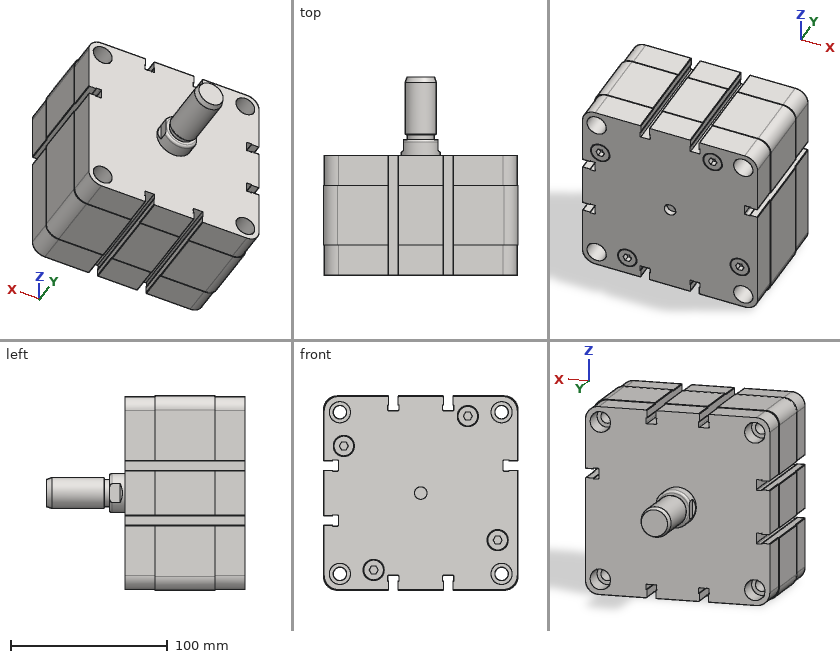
import cadquery as cq
import math

cap_width = 123.0
barrel_width = 124.0
housing_corner_radius = 9.0
cap_length = 19.25
barrel_length = 38.0
housing_length = 2 * cap_length + barrel_length
sections = [
    (0, cap_length, cap_width),
    (cap_length, barrel_length, barrel_width),
    (cap_length + barrel_length, cap_length, cap_width),
]

slot_offset = 17.5
slot_neck_width = 6.0
slot_channel_width = 7.0
slot_floor = 52.5
slot_channel_depth = 3.6
slot_floor_radius = 0.6
slot_mouth_chamfer = 0.4
slots = [
    (0, -slot_offset),
    (0, slot_offset),
    (90, -slot_offset),
    (180, -slot_offset),
    (180, slot_offset),
    (270, -slot_offset),
    (270, slot_offset),
]

mount_hole_pitch = 103.0
mount_hole_diameter = 8.38
mount_bore_diameter = 13.5
mount_bore_depth = 15.0

screw_near = 30.0
screw_far = 49.0
screw_positions = [
    (screw_near, screw_far),
    (screw_far, -screw_near),
    (-screw_near, -screw_far),
    (-screw_far, screw_near),
]
screw_head_diameter = 12.5
screw_recess_diameter = 13.5
screw_gap_depth = 8.0
hex_across_flats = 5.0
hex_depth = 4.0

centre_hole_diameter = 8.0
centre_hole_depth = 4.0

collar_diameter = 25.0
collar_length = 10.0
collar_edge_radius = 1.7
flat_width = 22.0
flat_end = 3.1
undercut_diameter = 17.5
thread_diameter = 20.0
thread_start = 13.4
thread_start_chamfer = 0.5
rod_length = 50.0
tip_diameter = 17.5
tip_chamfer_length = 3.5


def y_plane(y):
    """Plane facing +Y at the given height; local x is +X and local y is -Z."""
    return cq.Workplane(cq.Plane(origin=(0, y, 0), xDir=(1, 0, 0), normal=(0, 1, 0)))


def make_housing():
    housing = cq.Workplane("XY")
    for start, length, width in sections:
        block = y_plane(start).rect(width, width).extrude(length)
        housing = housing.union(block.edges("|Y").fillet(housing_corner_radius))
    return housing


def slot_block(width, start, length, bottom, top):
    """Block along Y, centred on X = 0, spanning the given Y and Z ranges."""
    block = cq.Workplane("XY", origin=(0, start, bottom))
    return block.box(width, length, top - bottom, centered=(True, False, False))


def make_slot_mouth(width, start, length):
    """Wedge that chamfers both lips of a slot in a section of the given width."""
    surface = width / 2
    half_neck = slot_neck_width / 2
    half_mouth = half_neck + slot_mouth_chamfer
    outline = [
        (-half_neck, surface - slot_mouth_chamfer),
        (half_neck, surface - slot_mouth_chamfer),
        (half_mouth, surface),
        (-half_mouth, surface),
    ]
    return cq.Workplane("XZ", origin=(0, start, 0)).polyline(outline).close().extrude(-length)


def make_slot(angle, offset):
    neck = slot_block(slot_neck_width, 0, housing_length, slot_floor, barrel_width / 2)
    channel_top = slot_floor + slot_channel_depth
    channel = slot_block(slot_channel_width, 0, housing_length, slot_floor, channel_top)
    slot = neck.union(channel.edges("|Y and <Z").fillet(slot_floor_radius))
    for start, length, width in sections:
        slot = slot.union(make_slot_mouth(width, start, length))
    return slot.translate((offset, 0, 0)).rotate((0, 0, 0), (0, 1, 0), angle)


def cut_mounting_holes(body):
    def holes(diameter, start, depth):
        pattern = y_plane(start).rect(mount_hole_pitch, mount_hole_pitch, forConstruction=True).vertices()
        return pattern.circle(diameter / 2).extrude(depth)

    body = body.cut(holes(mount_hole_diameter, 0, housing_length))
    body = body.cut(holes(mount_bore_diameter, 0, mount_bore_depth))
    return body.cut(holes(mount_bore_diameter, housing_length, -mount_bore_depth))


def make_screw_cut(x, z):
    """Ring gap around a screw head plus its hex socket."""
    at_screw = y_plane(0).center(x, -z)
    gap = (
        at_screw.circle(screw_recess_diameter / 2)
        .circle(screw_head_diameter / 2)
        .extrude(screw_gap_depth)
    )
    hex_across_corners = hex_across_flats / math.cos(math.pi / 6)
    socket = at_screw.polygon(6, hex_across_corners).extrude(hex_depth)
    return gap.union(socket)


def make_flat(side):
    """Wrench flat on one side of the collar, running out at 45 degrees towards the housing."""
    inner = flat_width / 2
    outer = collar_diameter / 2
    outline = [
        (side * inner, flat_end),
        (side * outer, flat_end - (outer - inner)),
        (side * outer, collar_length),
        (side * inner, collar_length),
    ]
    return (
        cq.Workplane("XY").polyline(outline).close()
        .extrude(outer, both=True)
    )


def make_rod():
    collar_radius = collar_diameter / 2
    arc_inset = collar_edge_radius * (1 - math.sqrt(0.5))
    profile = (
        cq.Workplane("XY")
        .lineTo(collar_radius, 0)
        .lineTo(collar_radius, collar_length - collar_edge_radius)
        .threePointArc(
            (collar_radius - arc_inset, collar_length - arc_inset),
            (collar_radius - collar_edge_radius, collar_length),
        )
        .lineTo(undercut_diameter / 2, collar_length)
        .lineTo(undercut_diameter / 2, thread_start - thread_start_chamfer)
        .lineTo(thread_diameter / 2, thread_start)
        .lineTo(thread_diameter / 2, rod_length - tip_chamfer_length)
        .lineTo(tip_diameter / 2, rod_length)
        .lineTo(0, rod_length)
        .close()
    )
    rod = profile.revolve(360, (0, 0, 0), (0, 1, 0))
    return rod.cut(make_flat(1)).cut(make_flat(-1)).translate((0, housing_length, 0))


body = make_housing()
for slot_angle, slot_position in slots:
    body = body.cut(make_slot(slot_angle, slot_position))
body = cut_mounting_holes(body)
for screw_x, screw_z in screw_positions:
    body = body.cut(make_screw_cut(screw_x, screw_z))
body = body.cut(y_plane(0).circle(centre_hole_diameter / 2).extrude(centre_hole_depth))

result = body.union(make_rod())